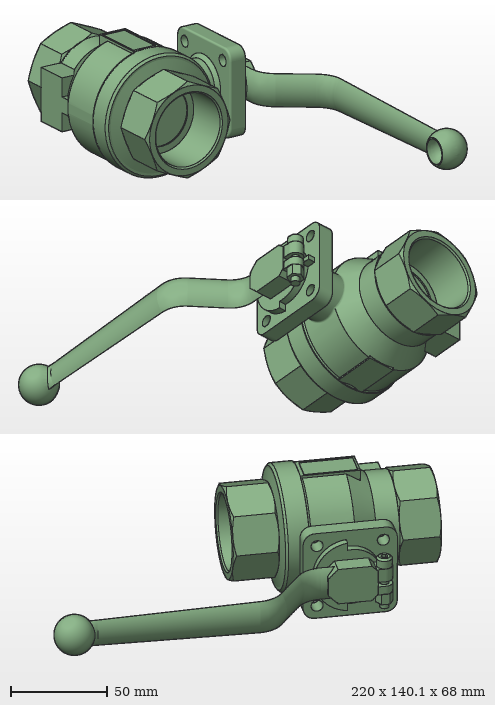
import cadquery as cq
import math


LEFT_END = -55.0
RIGHT_END = 55.7
LEFT_OCTAGON_END = -32.8
RIGHT_OCTAGON_START = 31.0
OCTAGON_RADIUS = 26.8
OCTAGON_CORNER_DROP = 2.2
OCTAGON_CORNER_LENGTH = 1.3
NECK_RADIUS = 25.3
CONE_START = -20.2
BARREL_START = -7.7
BARREL_RADIUS = 33.0
BARREL_END = 15.6
COLLAR_START = 16.7
COLLAR_RADIUS = 33.99
COLLAR_STEP_RADIUS = 33.5
COLLAR_END = 29.5
COLLAR_ROUND = 1.3
COLLAR_BACK_RADIUS = 31.2

BORE_RADIUS = 20.2
BORE_DEPTH = 25.3
BORE_CHAMFER = 0.9
SEAT_RADIUS = 16.5
SEAT_DEPTH = 0.9

LABEL_START = -15.2
LABEL_HALF_WIDTH = 8.03
LABEL_TOP = 33.5
LABEL_BORDER = 1.0
LABEL_RECESS = 0.5
LOWER_PAD_START = -8.5
LOWER_PAD_FACE = 33.0
FOOT_END = -13.5
FOOT_HALF_WIDTH = 15.0
FOOT_FACE = 32.89
TONGUE_HALF_WIDTH = 4.5

STEM_RADIUS = 13.6
STEM_FILLET = 2.2
STEM_ROOT_FILLET = 1.0
FLANGE_BOTTOM = 47.0
FLANGE_TOP = 56.5
FLANGE_SIDE = 50.0
FLANGE_CORNER = 6.2
FLANGE_EDGE_ROUND = 1.0
BOLT_SPACING = 35.2
BOLT_HOLE_RADIUS = 3.2
STOP_PLATE_TOP = 60.7
STOP_PLATE_RADIUS = 15.8
STOP_SECTOR_RADIUS = 20.0
STOP_SECTOR_START = 2.2
STOP_TAB_END = -21.1
STOP_TAB_WIDTH = 2.9

HUB_TOP = 70.5
HUB_LEFT = -12.0
HUB_RIGHT = 14.3
HUB_HALF_WIDTH = 10.1
HUB_LEFT_CORNER = 3.3
HUB_RIGHT_CORNER = 5.0
LUG_X = -16.3
LUG_Y = 65.5
LUG_RADIUS = 4.5
LUG_HALF_LENGTH = 7.5
CLAMP_SLOT = 2.6
ARM_START_X = 6.5
BEND_START_X = 17.8
BEND_RADIUS = 15.8
BEND_ANGLE = math.radians(54)
ARM_LOW_Y = 65.1
ARM_HIGH_Y = 95.3
ARM_HALF_WIDTH = 9.2
ARM_HALF_THICKNESS = 3.3
TIP_HALF_WIDTH = 7.5
TIP_HALF_THICKNESS = 2.5
TIP_X = 142.0
FLARE_LENGTH = 4.5
FLARE_GROWTH = 1.5
BALL_RADIUS = 10.8
BALL_X = 165.0 - BALL_RADIUS
BALL_FLAT_Y = 87.5
BALL_HOLE_RADIUS = 6.8
BALL_HOLE_STRAIGHT = 2.2

SHANK_RADIUS = 2.5
SCREW_TIP_Z = -17.0
HEAD_RADIUS = 4.2
HEAD_TOP_Z = 13.0
HEAD_CHAMFER = 1.0
SOCKET_WIDTH = 3.0
SOCKET_DEPTH = 2.2
NUT_WIDTH = 8.0
NUT_BOTTOM_Z = -13.6


def box(x, y, z):
    """A block between the (low, high) limits on each axis."""
    size = [high - low for low, high in (x, y, z)]
    return cq.Workplane("XY").box(*size, centered=False).translate((x[0], y[0], z[0]))


def cylinder_y(radius, start, end):
    return cq.Workplane("XZ", origin=(0, start, 0)).circle(radius).extrude(start - end)


def revolve_about_bore(points):
    return cq.Workplane("XY").polyline(points).close().revolve(360, (0, 0, 0), (1, 0, 0))


def octagon_end(start, end):
    """An octagonal wrench section whose corners are turned down at both ends."""
    diameter = 2 * OCTAGON_RADIUS
    octagon = cq.Workplane("YZ", origin=(start, 0, 0)).polygon(8, diameter).extrude(end - start)
    face_radius = OCTAGON_RADIUS - OCTAGON_CORNER_DROP
    blank = [
        (start, 0),
        (start, face_radius),
        (start + OCTAGON_CORNER_LENGTH, OCTAGON_RADIUS),
        (end - OCTAGON_CORNER_LENGTH, OCTAGON_RADIUS),
        (end, face_radius),
        (end, 0),
    ]
    return octagon.intersect(revolve_about_bore(blank))


def turned_body():
    profile = [
        (LEFT_OCTAGON_END, 0),
        (LEFT_OCTAGON_END, NECK_RADIUS),
        (CONE_START, NECK_RADIUS),
        (BARREL_START, BARREL_RADIUS),
        (BARREL_END, BARREL_RADIUS),
        (COLLAR_START, COLLAR_STEP_RADIUS),
        (COLLAR_START, COLLAR_RADIUS),
        (COLLAR_END - COLLAR_ROUND, COLLAR_RADIUS),
        (COLLAR_END, COLLAR_RADIUS - COLLAR_ROUND),
        (COLLAR_END, COLLAR_BACK_RADIUS),
        (RIGHT_OCTAGON_START, OCTAGON_RADIUS - OCTAGON_CORNER_DROP),
        (RIGHT_OCTAGON_START, 0),
    ]
    return revolve_about_bore(profile)


def label_pad():
    width = (-LABEL_HALF_WIDTH, LABEL_HALF_WIDTH)
    pad = box((LABEL_START, COLLAR_START), width, (0, LABEL_TOP))
    inner_width = (-LABEL_HALF_WIDTH + LABEL_BORDER, LABEL_HALF_WIDTH - LABEL_BORDER)
    inner_length = (LABEL_START + LABEL_BORDER, BARREL_END - LABEL_BORDER)
    return pad.cut(box(inner_length, inner_width, (LABEL_TOP - LABEL_RECESS, LABEL_TOP)))


def lower_pad():
    width = (-LABEL_HALF_WIDTH, LABEL_HALF_WIDTH)
    return box((LOWER_PAD_START, COLLAR_START), width, (-LOWER_PAD_FACE, 0))


def foot():
    """The square foot under the neck with the narrower tongue that runs along the cone."""
    block = box((LEFT_OCTAGON_END, FOOT_END), (-FOOT_FACE, 0), (-FOOT_HALF_WIDTH, FOOT_HALF_WIDTH))
    tongue_width = (-TONGUE_HALF_WIDTH, TONGUE_HALF_WIDTH)
    tongue = box((FOOT_END, BARREL_START), (-FOOT_FACE, 0), tongue_width)
    return block.union(tongue)


def barrel_flat():
    """The sliver cut off the barrel so that it lies flush with the foot."""
    across = (-TONGUE_HALF_WIDTH, TONGUE_HALF_WIDTH)
    return box((BARREL_START, BARREL_END), (-BARREL_RADIUS, -FOOT_FACE), across)


def turned_body_with_stem():
    """The turned body and its stem, with a small fillet around the stem root."""
    body = turned_body().cut(barrel_flat())
    body = body.union(cylinder_y(STEM_RADIUS, 0, FLANGE_BOTTOM))
    root = cq.selectors.BoxSelector(
        (-1.1 * STEM_RADIUS, NECK_RADIUS, -1.1 * STEM_RADIUS),
        (1.1 * STEM_RADIUS, BARREL_RADIUS + 0.2, 1.1 * STEM_RADIUS),
        boundingbox=True,
    )
    return body.edges(root).fillet(STEM_ROOT_FILLET)


def mounting_flange():
    height = FLANGE_TOP - FLANGE_BOTTOM
    flange = cq.Workplane("XZ", origin=(0, FLANGE_BOTTOM, 0)).rect(FLANGE_SIDE, FLANGE_SIDE).extrude(-height)
    flange = flange.edges("|Y").fillet(FLANGE_CORNER).faces("<Y").edges().fillet(FLANGE_EDGE_ROUND)
    holes = (
        cq.Workplane("XZ", origin=(0, FLANGE_BOTTOM, 0))
        .rect(BOLT_SPACING, BOLT_SPACING, forConstruction=True)
        .vertices()
        .circle(BOLT_HOLE_RADIUS)
        .extrude(-height)
    )
    foot_ring = cylinder_y(STEM_RADIUS + STEM_FILLET, FLANGE_BOTTOM - STEM_FILLET, FLANGE_BOTTOM)
    foot_ring = foot_ring.faces("<Y").chamfer(STEM_FILLET * 0.99)
    return flange.cut(holes).union(foot_ring)


def stop_plate():
    """A round plate, wider on its +X side, with the stop tab on its -X side."""
    height = (FLANGE_TOP, STOP_PLATE_TOP)
    plate = cylinder_y(STOP_PLATE_RADIUS, *height)
    half_plane = box(
        (STOP_SECTOR_START, STOP_SECTOR_RADIUS), height, (-STOP_SECTOR_RADIUS, STOP_SECTOR_RADIUS)
    )
    sector = cylinder_y(STOP_SECTOR_RADIUS, *height).intersect(half_plane)
    tab = box((STOP_TAB_END, 0), height, (-STOP_TAB_WIDTH / 2, STOP_TAB_WIDTH / 2))
    return plate.union(sector).union(tab)


def bore(end, direction):
    """A blind bore with a chamfered mouth and a smaller seat, cut inward from one end."""
    profile = [
        (0, 0),
        (0, BORE_RADIUS + BORE_CHAMFER),
        (BORE_CHAMFER, BORE_RADIUS),
        (BORE_DEPTH, BORE_RADIUS),
        (BORE_DEPTH, SEAT_RADIUS),
        (BORE_DEPTH + SEAT_DEPTH, SEAT_RADIUS),
        (BORE_DEPTH + SEAT_DEPTH, 0),
    ]
    points = [(end + direction * depth, radius) for depth, radius in profile]
    return revolve_about_bore(points)


def make_valve_body():
    body = turned_body_with_stem()
    body = body.union(octagon_end(LEFT_END, LEFT_OCTAGON_END))
    body = body.union(octagon_end(RIGHT_OCTAGON_START, RIGHT_END))
    body = body.union(label_pad()).union(lower_pad()).union(foot())
    body = body.union(mounting_flange()).union(stop_plate())
    return body.cut(bore(LEFT_END, 1)).cut(bore(RIGHT_END, -1))


def arm_section(x, y, half_width, half_thickness):
    """A lens across the arm, sharp at both Z sides."""
    return (
        cq.Workplane("YZ", origin=(x, y, 0))
        .moveTo(0, -half_width)
        .threePointArc((half_thickness, 0), (0, half_width))
        .threePointArc((-half_thickness, 0), (0, -half_width))
        .close()
    )


def bent_arm():
    """The cranked part of the arm; returns it with the X where its straight part starts."""
    run = BEND_RADIUS * math.sin(BEND_ANGLE)
    rise = BEND_RADIUS * (1 - math.cos(BEND_ANGLE))
    half_run = BEND_RADIUS * math.sin(BEND_ANGLE / 2)
    half_rise = BEND_RADIUS * (1 - math.cos(BEND_ANGLE / 2))
    slope_rise = ARM_HIGH_Y - ARM_LOW_Y - 2 * rise
    slope_run = slope_rise / math.tan(BEND_ANGLE)
    end_x = BEND_START_X + 2 * run + slope_run
    path = (
        cq.Workplane("XY")
        .moveTo(ARM_START_X, ARM_LOW_Y)
        .lineTo(BEND_START_X, ARM_LOW_Y)
        .threePointArc(
            (BEND_START_X + half_run, ARM_LOW_Y + half_rise),
            (BEND_START_X + run, ARM_LOW_Y + rise),
        )
        .lineTo(end_x - run, ARM_HIGH_Y - rise)
        .threePointArc((end_x - half_run, ARM_HIGH_Y - half_rise), (end_x, ARM_HIGH_Y))
    )
    section = arm_section(ARM_START_X, ARM_LOW_Y, ARM_HALF_WIDTH, ARM_HALF_THICKNESS)
    return section.sweep(path), end_x


def loft_arm(start, end):
    """A straight stretch of the arm between two (x, half width, half thickness) sections."""
    wires = [arm_section(x, ARM_HIGH_Y, width, thickness).val() for x, width, thickness in (start, end)]
    return cq.Workplane(cq.Solid.makeLoft(wires, True))


def straight_arm(start_x):
    """The tapering stretch, then the flare that meets the knob."""
    start = (start_x, ARM_HALF_WIDTH, ARM_HALF_THICKNESS)
    tip = (TIP_X, TIP_HALF_WIDTH, TIP_HALF_THICKNESS)
    flare_end = (TIP_X + FLARE_LENGTH, TIP_HALF_WIDTH, TIP_HALF_THICKNESS + FLARE_GROWTH)
    return loft_arm(start, tip).union(loft_arm(tip, flare_end))


def ball_knob():
    knob = cq.Workplane("XY").sphere(BALL_RADIUS).translate((BALL_X, ARM_HIGH_Y, 0))
    reach = (-BALL_RADIUS, BALL_RADIUS)
    below = box((BALL_X - BALL_RADIUS, BALL_X + BALL_RADIUS), (ARM_HIGH_Y - BALL_RADIUS, BALL_FLAT_Y), reach)
    return knob.cut(below)


def knob_hole():
    """A short round hole that ends in a half ball."""
    bottom_y = BALL_FLAT_Y + BALL_HOLE_STRAIGHT
    straight = cylinder_y(BALL_HOLE_RADIUS, BALL_FLAT_Y, bottom_y)
    bottom = cq.Workplane("XY").sphere(BALL_HOLE_RADIUS).translate((0, bottom_y, 0))
    return straight.union(bottom).translate((BALL_X, 0, 0))


def hub():
    height = (STOP_PLATE_TOP, HUB_TOP)
    block = box((HUB_LEFT, HUB_RIGHT), height, (-HUB_HALF_WIDTH, HUB_HALF_WIDTH))
    block = block.faces("<X").edges("|Y").chamfer(HUB_LEFT_CORNER)
    block = block.faces(">X").edges("|Y").chamfer(HUB_RIGHT_CORNER)
    lug_length = 2 * LUG_HALF_LENGTH
    lug = cq.Workplane("XY", origin=(LUG_X, LUG_Y, -LUG_HALF_LENGTH)).circle(LUG_RADIUS).extrude(lug_length)
    lug_y = (LUG_Y - LUG_RADIUS, LUG_Y + LUG_RADIUS)
    bridge = box((LUG_X, 0), lug_y, (-LUG_HALF_LENGTH, LUG_HALF_LENGTH))
    slot_x = (LUG_X - LUG_RADIUS, HUB_LEFT)
    slot = box(slot_x, height, (-CLAMP_SLOT, 0))
    return block.union(lug).union(bridge).cut(slot)


def make_lever(screw):
    arm, straight_start = bent_arm()
    lever = hub().union(arm).union(straight_arm(straight_start)).union(ball_knob())
    return lever.cut(knob_hole()).cut(screw)


def make_clamp_screw():
    def along_z(start):
        return cq.Workplane("XY", origin=(LUG_X, LUG_Y, start))

    shank = along_z(SCREW_TIP_Z).circle(SHANK_RADIUS).extrude(HEAD_TOP_Z - SCREW_TIP_Z)
    head = along_z(LUG_HALF_LENGTH).circle(HEAD_RADIUS).extrude(HEAD_TOP_Z - LUG_HALF_LENGTH)
    head = head.faces(">Z").chamfer(HEAD_CHAMFER)
    nut_across_corners = NUT_WIDTH / math.cos(math.radians(30))
    nut = along_z(NUT_BOTTOM_Z).polygon(6, nut_across_corners).extrude(-LUG_HALF_LENGTH - NUT_BOTTOM_Z)
    socket_across_corners = SOCKET_WIDTH / math.cos(math.radians(30))
    socket = along_z(HEAD_TOP_Z - SOCKET_DEPTH).polygon(6, socket_across_corners).extrude(SOCKET_DEPTH)
    return shank.union(head).union(nut).cut(socket)


valve_body = make_valve_body()
clamp_screw = make_clamp_screw()
lever = make_lever(clamp_screw)

result = cq.Compound.makeCompound([valve_body.val(), lever.val(), clamp_screw.val()])